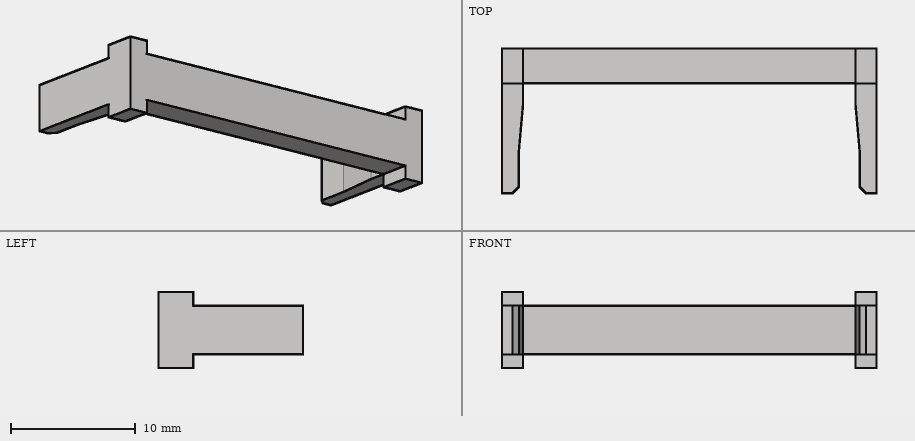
import cadquery as cq

length = 30.0
depth = 11.6
height = 6.1

bar_depth = 2.8
bar_height = 3.9
block_width = 1.71

arm_length = depth - bar_depth
arm_tip_width = 1.36
arm_root_straight = 1.6
arm_taper_length = 3.9
tip_chamfer = 0.5


def make_crossbar():
    """Bar spanning the full length, with its front face at Y = 0."""
    return cq.Workplane("XY").box(length, bar_depth, bar_height, centered=(True, False, True))


def make_left_end():
    """Tall end block beside the bar, with an arm reaching toward -Y."""
    outer_x = -length / 2
    root_x = outer_x + block_width
    tip_x = outer_x + arm_tip_width

    block = (
        cq.Workplane("XY")
        .box(block_width, bar_depth, height, centered=(False, False, True))
        .translate((outer_x, 0, 0))
    )
    arm = (
        cq.Workplane("XY")
        .moveTo(outer_x, 0)
        .lineTo(root_x, 0)
        .lineTo(root_x, -arm_root_straight)
        .lineTo(tip_x, -arm_root_straight - arm_taper_length)
        .lineTo(tip_x, -arm_length + tip_chamfer)
        .lineTo(tip_x - tip_chamfer, -arm_length)
        .lineTo(outer_x, -arm_length)
        .close()
        .extrude(bar_height / 2, both=True)
    )
    return block.union(arm)


left_end = make_left_end()
right_end = left_end.mirror("YZ")
result = make_crossbar().union(left_end).union(right_end)